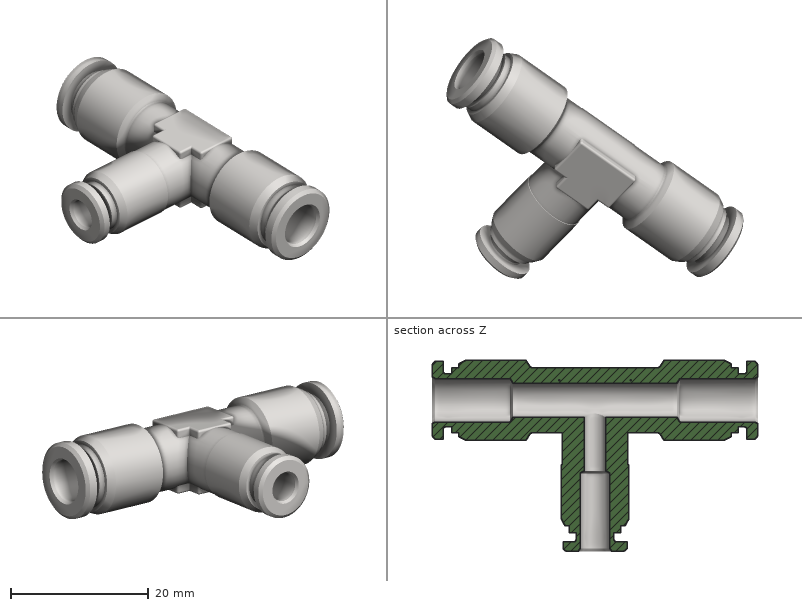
import cadquery as cq
import math

RUN_LENGTH = 47.6
RUN_BODY_RADIUS = 5.9
RUN_FLANGE_RADIUS = 5.7
RUN_NECK_RADIUS = 3.9
RUN_BORE_RADIUS = 2.48
RUN_SOCKET_RADIUS = 3.15
RUN_FLANGE_THICKNESS = 1.7
RUN_NECK_LENGTH = 1.15
RUN_TAPER_LENGTH = 1.2
RUN_SHOULDER_START = 9.4
RUN_SHOULDER_END = 10.1
RUN_SHOULDER_FILLET = 0.3

BRANCH_LENGTH = 22.1
BRANCH_BODY_RADIUS = 4.95
BRANCH_FLANGE_RADIUS = 4.7
BRANCH_NECK_RADIUS = 2.8
BRANCH_BORE_RADIUS = 1.5
BRANCH_SOCKET_RADIUS = 2.15
BRANCH_FLANGE_THICKNESS = 1.48
BRANCH_NECK_LENGTH = 1.25
BRANCH_TAPER_LENGTH = 1.05
BRANCH_BODY_START = 9.4

TUBE_RADIUS = 4.8

FLANGE_CHAMFER_LENGTH = 0.45
FLANGE_CHAMFER_DEPTH = 0.5
NECK_FLARE_LENGTH = 0.25
NECK_FLARE_HEIGHT = 0.15
RING_LENGTH = 1.0
RING_INSET = 1.15
BODY_TAPER_DEPTH = 0.55
SOCKET_DEPTH = 11.42
CONE_HALF_ANGLE = 60.0
MOUTH_CHAMFER_DEPTH = 0.3
MOUTH_CHAMFER_LENGTH = 0.48

PAD_HALF_WIDTH = 5.25
PAD_HALF_HEIGHT = 3.15
PAD_STEM_HALF_WIDTH = 3.1
PAD_STEM_END = 5.35
PAD_TOP = 4.95
PAD_FILLET = 0.35


def revolve_profile(points):
    """Revolve (radius, distance) points about Z, the port facing +Z."""
    return cq.Workplane("XZ").polyline(points).close().revolve(360, (0, 0), (0, 1))


def port_outside(
    length, body_radius, flange_radius, neck_radius,
    flange_thickness, neck_length, taper_length, shoulder_start, shoulder_end,
):
    """Tube from the crossing out to the end of the release collar."""
    flange_start = length - flange_thickness
    ring_end = flange_start - neck_length
    body_end = ring_end - RING_LENGTH
    ring_radius = body_radius - RING_INSET
    return revolve_profile([
        (0, 0),
        (TUBE_RADIUS, 0),
        (TUBE_RADIUS, shoulder_start),
        (body_radius, shoulder_end),
        (body_radius, body_end - taper_length),
        (body_radius - BODY_TAPER_DEPTH, body_end),
        (ring_radius, body_end),
        (ring_radius, ring_end),
        (neck_radius, ring_end),
        (neck_radius, flange_start - NECK_FLARE_LENGTH),
        (neck_radius + NECK_FLARE_HEIGHT, flange_start),
        (flange_radius, flange_start),
        (flange_radius, length - FLANGE_CHAMFER_LENGTH),
        (flange_radius - FLANGE_CHAMFER_DEPTH, length),
        (0, length),
    ])


def port_bore(length, socket_radius, bore_radius):
    """Bore opening through a cone into the tube socket, with a flared mouth."""
    cone_end = length - SOCKET_DEPTH
    cone_length = (socket_radius - bore_radius) / math.tan(math.radians(CONE_HALF_ANGLE))
    return revolve_profile([
        (0, 0),
        (bore_radius, 0),
        (bore_radius, cone_end - cone_length),
        (socket_radius, cone_end),
        (socket_radius, length - MOUTH_CHAMFER_LENGTH),
        (socket_radius + MOUTH_CHAMFER_DEPTH, length),
        (0, length),
    ])


def fillet_circle_at(port, distance, radius):
    """Fillet the circular edge whose centre lies on Z at the given distance."""
    margin = 0.05
    low_corner = (-margin, -margin, distance - margin)
    high_corner = (margin, margin, distance + margin)
    return port.edges(cq.selectors.BoxSelector(low_corner, high_corner)).fillet(radius)


def both_run_ends(port):
    """Turn a +Z port to +X and add its mirror image."""
    right_end = port.rotate((0, 0, 0), (0, 1, 0), 90)
    return right_end.union(right_end.mirror("YZ"))


def to_branch(port):
    """Turn a +Z port to -Y."""
    return port.rotate((0, 0, 0), (1, 0, 0), 90)


def label_pads():
    """One T-shaped block through the crossing, whose ends are the two pads."""
    outline = [
        (-PAD_HALF_WIDTH, PAD_HALF_HEIGHT),
        (PAD_HALF_WIDTH, PAD_HALF_HEIGHT),
        (PAD_HALF_WIDTH, -PAD_HALF_HEIGHT),
        (PAD_STEM_HALF_WIDTH, -PAD_HALF_HEIGHT),
        (PAD_STEM_HALF_WIDTH, -PAD_STEM_END),
        (-PAD_STEM_HALF_WIDTH, -PAD_STEM_END),
        (-PAD_STEM_HALF_WIDTH, -PAD_HALF_HEIGHT),
        (-PAD_HALF_WIDTH, -PAD_HALF_HEIGHT),
    ]
    block = cq.Workplane("XY").polyline(outline).close().extrude(PAD_TOP, both=True)
    rounded = block.edges("|Z").edges("<X or >X or <Y").fillet(PAD_FILLET)
    return rounded.faces("<Z or >Z").edges().fillet(PAD_FILLET)


run_port_length = RUN_LENGTH / 2
run_port = port_outside(
    run_port_length, RUN_BODY_RADIUS, RUN_FLANGE_RADIUS, RUN_NECK_RADIUS,
    RUN_FLANGE_THICKNESS, RUN_NECK_LENGTH, RUN_TAPER_LENGTH, RUN_SHOULDER_START, RUN_SHOULDER_END,
)
run = both_run_ends(fillet_circle_at(run_port, RUN_SHOULDER_START, RUN_SHOULDER_FILLET))
branch = to_branch(port_outside(
    BRANCH_LENGTH, BRANCH_BODY_RADIUS, BRANCH_FLANGE_RADIUS, BRANCH_NECK_RADIUS,
    BRANCH_FLANGE_THICKNESS, BRANCH_NECK_LENGTH, BRANCH_TAPER_LENGTH, BRANCH_BODY_START, BRANCH_BODY_START,
))
run_bore = both_run_ends(port_bore(run_port_length, RUN_SOCKET_RADIUS, RUN_BORE_RADIUS))
branch_bore = to_branch(port_bore(BRANCH_LENGTH, BRANCH_SOCKET_RADIUS, BRANCH_BORE_RADIUS))

result = run.union(branch).union(label_pads()).cut(run_bore).cut(branch_bore)